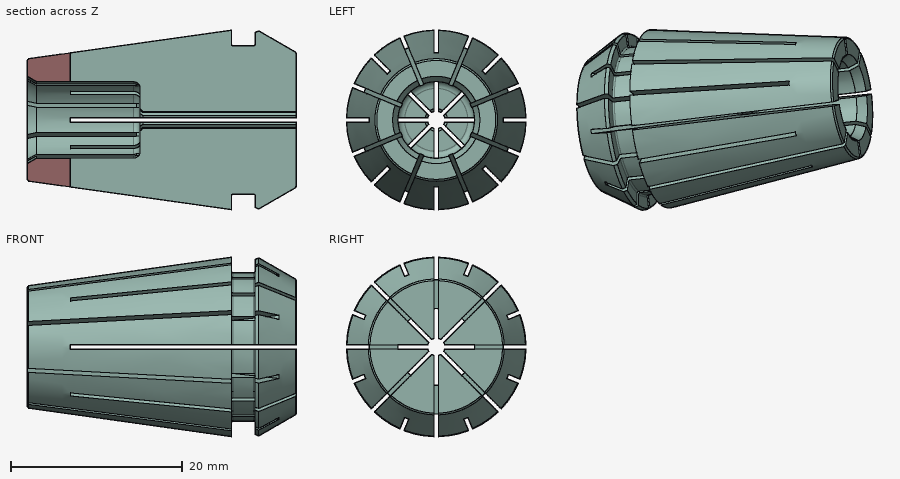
import cadquery as cq
import math

length = 31.5
max_diameter = 21.0
max_radius = max_diameter / 2

taper_angle = math.radians(8)
taper_end = 23.9
nose_chamfer = 0.2
nose_radius = max_radius - taper_end * math.tan(taper_angle)

groove_end = 26.68
groove_radius = 8.7
groove_fillet = 0.2

head_angle = math.radians(30)
head_radius = 10.43
head_chamfer_length = 0.4
head_chamfer_depth = 0.2
head_peak = groove_end + head_chamfer_length
rear_chamfer = 0.13
rear_radius = head_radius - (length - head_peak) * math.tan(head_angle)

arc_middle_inset = 1 - math.sqrt(0.5)

relief_radius = 4.47
relief_depth = 13.23
relief_fillet = 0.8
mouth_chamfer_depth = 0.63
mouth_chamfer_angle = math.radians(30)
mouth_chamfer_length = mouth_chamfer_depth / math.tan(mouth_chamfer_angle)
grip_radius = 1.0
grip_chamfer = 0.3

slots_per_end = 8
slot_pitch = 360 / slots_per_end
slot_width = 0.5
rear_slot_start = 5.07
nose_slot_end = 29.48
nose_slot_floor_radius = 4.38
nose_slot_climb_start = relief_depth
nose_slot_end_radius = head_radius - (nose_slot_end - head_peak) * math.tan(head_angle)
overrun = 0.3
cut_radius = max_radius + overrun


def turned_body():
    """Outer form: nose taper, extraction groove and clamping head."""
    chamfer_rise = nose_chamfer * math.tan(taper_angle)
    rear_chamfer_rise = rear_chamfer * math.tan(head_angle)
    groove_corner = groove_fillet * arc_middle_inset
    return (
        cq.Workplane("XY")
        .lineTo(0, nose_radius - nose_chamfer)
        .lineTo(nose_chamfer, nose_radius + chamfer_rise)
        .lineTo(taper_end, max_radius)
        .lineTo(taper_end, groove_radius + groove_fillet)
        .threePointArc(
            (taper_end + groove_corner, groove_radius + groove_corner),
            (taper_end + groove_fillet, groove_radius),
        )
        .lineTo(groove_end - groove_fillet, groove_radius)
        .threePointArc(
            (groove_end - groove_corner, groove_radius + groove_corner),
            (groove_end, groove_radius + groove_fillet),
        )
        .lineTo(groove_end, head_radius - head_chamfer_depth)
        .lineTo(head_peak, head_radius)
        .lineTo(length - rear_chamfer, rear_radius + rear_chamfer_rise)
        .lineTo(length, rear_radius - rear_chamfer)
        .lineTo(length, 0)
        .close()
        .revolve(360, (0, 0, 0), (1, 0, 0))
    )


def stepped_bore():
    """Relief bore with a chamfered mouth and rounded bottom, then the grip hole."""
    corner = relief_fillet * arc_middle_inset
    return (
        cq.Workplane("XY")
        .lineTo(0, relief_radius + mouth_chamfer_depth)
        .lineTo(mouth_chamfer_length, relief_radius)
        .lineTo(relief_depth - relief_fillet, relief_radius)
        .threePointArc(
            (relief_depth - corner, relief_radius - corner),
            (relief_depth, relief_radius - relief_fillet),
        )
        .lineTo(relief_depth, grip_radius + grip_chamfer)
        .lineTo(relief_depth + grip_chamfer, grip_radius)
        .lineTo(length, grip_radius)
        .lineTo(length, 0)
        .close()
        .revolve(360, (0, 0, 0), (1, 0, 0))
    )


def slot_cutter(profile):
    """Flat blade with the given (x, radius) profile, centred on the XY plane."""
    return cq.Workplane("XY").polyline(profile).close().extrude(slot_width / 2, both=True)


def cut_slots(body, cutter, first_angle):
    """Cut the slot at every pitch around the axis, starting at first_angle."""
    for index in range(slots_per_end):
        angle = first_angle + index * slot_pitch
        body = body.cut(cutter.rotate((0, 0, 0), (1, 0, 0), angle))
    return body


rear_slot = slot_cutter([
    (rear_slot_start, 0),
    (rear_slot_start, cut_radius),
    (length + overrun, cut_radius),
    (length + overrun, 0),
])
nose_slot = slot_cutter([
    (-overrun, nose_slot_floor_radius),
    (nose_slot_climb_start, nose_slot_floor_radius),
    (nose_slot_end, nose_slot_end_radius),
    (nose_slot_end, cut_radius),
    (-overrun, cut_radius),
])

result = turned_body().cut(stepped_bore())
result = cut_slots(result, rear_slot, 0)
result = cut_slots(result, nose_slot, slot_pitch / 2)